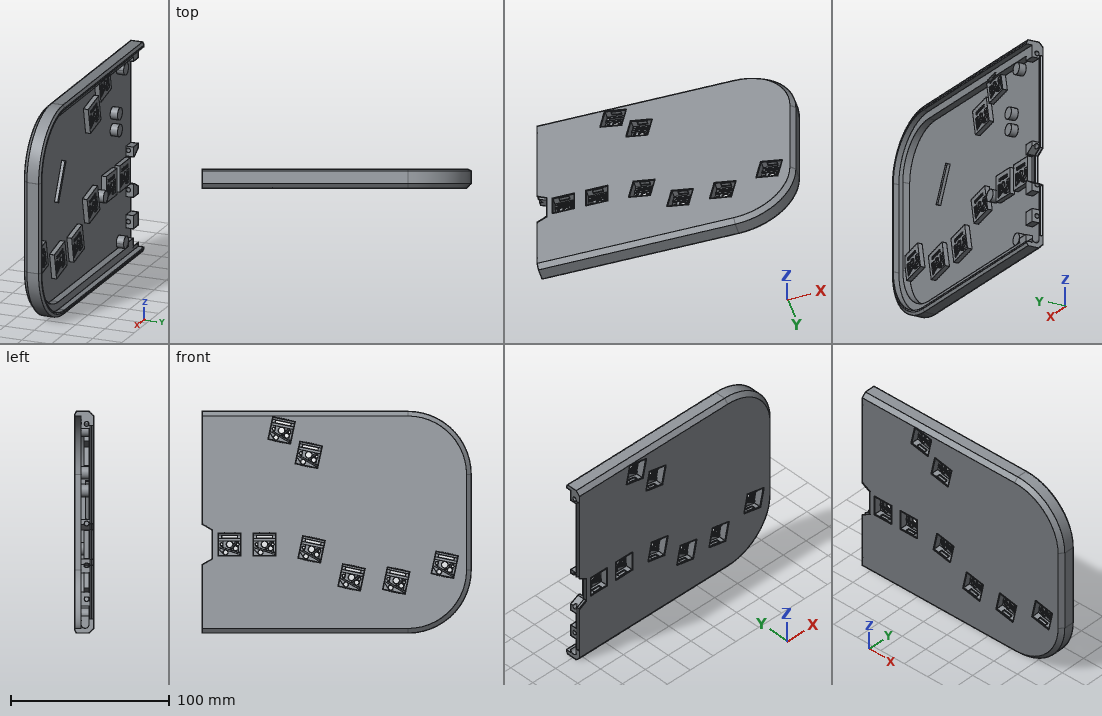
import cadquery as cq
import math


length = 169.75
height = 140.0
thickness = 12.0
corner_radius = 40.0
front_chamfer = 3.0
back_chamfer_side = 2.0
back_chamfer_depth = 1.0

plate_thickness = 3.0
cover_rim = 3.0
cover_depth = 4.0
cavity_wall = 8.0
cavity_back = thickness - cover_depth

notch_depth = 6.3
notch_center_z = 56.0
notch_mouth = 25.4
notch_floor = 18.2

groove_depth = 1.0
groove_bottom_z = 8.9
groove_top_z = height - groove_bottom_z

key_tilt = 12.0
keys = [
    (17.32, 56.04, 0.0),
    (39.36, 56.04, 0.0),
    (69.0, 52.9, key_tilt),
    (94.2, 35.2, key_tilt),
    (122.4, 33.2, key_tilt),
    (153.0, 43.2, key_tilt),
    (50.1, 127.9, key_tilt),
    (67.2, 112.5, key_tilt),
]
socket_size = 17.6
socket_back = 6.3
mouth_size = 14.6
mouth_depth = 0.6
well_size = 13.9
well_floor = 5.0
trace_depth = 0.9
trace_width = 0.9
traces = [
    ((-6.8, -1.6), (6.8, -6.0)),
    ((4.5, 1.9), (0.8, -2.9)),
]
left_strip = (-4.2, -1.6)
right_strip = (5.6, -4.9)
corner_cut = 4.0
clip_width = 6.5
clip_front = 1.2
clip_back = 3.8
clip_depth = 0.8
lamp_groove_z = 4.75
lamp_groove_width = 2.1
lamp_slot = (9.9, 1.7)
center_hole = 4.0
side_hole = 1.75
pin_hole = 3.0
pitch = 1.27
lower_floor_top = 2.1
lower_floor_depth = 0.4

boss_length = 8.0
boss_width = 8.8
pin_diameter = 3.0
pin_y = plate_thickness + pin_diameter / 2
lower_boss_z = 21.5
notch_boss_reach = 5.2
notch_boss_top = 15.8
notch_pin_offset = 13.2
top_pin_z = height - cavity_wall
end_pocket_top_z = 11.0
end_pocket_bottom_z = 3.1
top_boss_bottom_z = height - end_pocket_top_z

post_diameter = 8.0
corner_inset = cavity_wall + post_diameter / 2
corner_post_x = 2 * boss_length + post_diameter / 2
posts = [
    (corner_post_x, corner_inset),
    (corner_post_x, height - corner_inset),
    (30.0, 101.2),
    (30.0, 90.0),
    (53.0, 53.2),
]

rib_start = (112.0, 96.0)
rib_end = (124.0, 72.0)
rib_width = 2.0
rib_height = 2.2


def extrude_y(sketch, start, end):
    """Solid from a sketch on the XZ plane, between two Y values."""
    return sketch.extrude(start - end).translate((0, start, 0))


def xz():
    return cq.Workplane("XZ")


def box(x0, x1, y0, y1, z0, z1):
    return cq.Workplane("XY").box(x1 - x0, y1 - y0, z1 - z0, centered=False).translate((x0, y0, z0))


def rounded_panel(inset, y0, y1, left=0.0):
    """D-shaped slab, set in by `inset` from the outer walls and open at `left`."""
    right = length - inset
    radius = corner_radius - inset
    bend_x = length - corner_radius
    reach = radius * math.sqrt(0.5)
    sketch = (
        xz()
        .moveTo(left, inset)
        .lineTo(bend_x, inset)
        .threePointArc((bend_x + reach, corner_radius - reach), (right, corner_radius))
        .lineTo(right, height - corner_radius)
        .threePointArc((bend_x + reach, height - corner_radius + reach), (bend_x, height - inset))
        .lineTo(left, height - inset)
        .close()
    )
    return extrude_y(sketch, y0, y1)


def chamfered_body():
    """Outer body, bevelled along the outer walls but not along the joining edge."""
    spare = 10.0
    body = rounded_panel(0, 0, thickness, -spare)
    body = body.faces("<Y").chamfer(front_chamfer)
    back_edges = body.faces(">Y").edges().vals()
    body = body.newObject([body.val().chamfer(back_chamfer_depth, back_chamfer_side, back_edges)])
    return body.intersect(box(0, length, 0, thickness, 0, height))


def notch_points():
    """Corners (x, z) of the notch, from bottom to top."""
    half_mouth = notch_mouth / 2
    half_floor = notch_floor / 2
    return [
        (0, notch_center_z - half_mouth),
        (notch_depth, notch_center_z - half_floor),
        (notch_depth, notch_center_z + half_floor),
        (0, notch_center_z + half_mouth),
    ]


def edge_groove():
    """V groove swept along the joining edge and around the notch."""
    middle_y = plate_thickness / 2
    path = xz().polyline([(0, groove_bottom_z), *notch_points(), (0, groove_top_z)])
    profile = (
        cq.Workplane("XY")
        .workplane(offset=groove_bottom_z)
        .polyline(
            [
                (-groove_depth, middle_y - groove_depth),
                (0, middle_y - groove_depth),
                (groove_depth, middle_y),
                (0, middle_y + groove_depth),
                (-groove_depth, middle_y + groove_depth),
            ]
        )
        .close()
    )
    return profile.sweep(path, transition="right")


def joining_bosses():
    lower_mouth = notch_center_z - notch_mouth / 2
    half_floor = notch_floor / 2
    spans = [
        (lower_boss_z - boss_width / 2, lower_boss_z + boss_width / 2),
        (lower_mouth - notch_boss_reach, notch_center_z - half_floor),
        (notch_center_z + half_floor, notch_center_z + notch_boss_top),
        (top_boss_bottom_z, height - cavity_wall),
    ]
    bosses = cq.Workplane("XY")
    for bottom, top in spans:
        bosses = bosses.add(box(0, boss_length, plate_thickness, cavity_back, bottom, top))
    return bosses.combine()


def joining_pin_holes():
    centers = [
        (pin_y, lower_boss_z),
        (pin_y, notch_center_z - notch_pin_offset),
        (pin_y, notch_center_z + notch_pin_offset),
        (pin_y, top_pin_z),
    ]
    return cq.Workplane("YZ").pushPoints(centers).circle(pin_diameter / 2).extrude(boss_length)


def end_pocket():
    """Round-ended pocket in the lower end of the joining edge."""
    radius = (cavity_back - plate_thickness) / 2
    middle_y = plate_thickness + radius
    bend_z = end_pocket_bottom_z + radius
    return (
        cq.Workplane("YZ")
        .moveTo(plate_thickness, end_pocket_top_z)
        .lineTo(plate_thickness, bend_z)
        .threePointArc((middle_y, end_pocket_bottom_z), (cavity_back, bend_z))
        .lineTo(cavity_back, end_pocket_top_z)
        .close()
        .extrude(boss_length)
    )


def plate_bar(start, end, width, y0, y1):
    """Straight bar of the given width between two (x, z) points."""
    dx = end[0] - start[0]
    dz = end[1] - start[1]
    sketch = xz().rect(math.hypot(dx, dz), width)
    bar = extrude_y(sketch, y0, y1)
    bar = bar.rotate((0, 0, 0), (0, 1, 0), -math.degrees(math.atan2(dz, dx)))
    return bar.translate(((start[0] + end[0]) / 2, 0, (start[1] + end[1]) / 2))


def place(shape, key):
    x, z, angle = key
    return shape.rotate((0, 0, 0), (0, 1, 0), angle).translate((x, 0, z))


def socket_block():
    return extrude_y(xz().rect(socket_size, socket_size), plate_thickness, socket_back)


def socket_cutter():
    """Everything removed from one key socket, centred on the key."""
    half = well_size / 2
    lower_floor = well_floor + lower_floor_depth
    trace_back = well_floor + trace_depth
    lamp_bottom = lamp_groove_z - lamp_groove_width / 2
    cutter = extrude_y(xz().rect(mouth_size, mouth_size), 0, mouth_depth)
    cutter = cutter.union(extrude_y(xz().rect(well_size, well_size), 0, well_floor))
    cutter = cutter.union(
        box(-half, half, mouth_depth, lower_floor, lamp_bottom, lamp_bottom + lamp_groove_width)
    )
    cutter = cutter.union(extrude_y(xz().center(0, lamp_groove_z).rect(*lamp_slot), 0, cavity_back))
    cutter = cutter.union(box(-half, half, mouth_depth, lower_floor, -half, lower_floor_top))
    for start, end in traces:
        groove = plate_bar(start, end, trace_width, well_floor, trace_back)
        cutter = cutter.union(groove.intersect(box(-half, half, 0, socket_back, -half, half)))
    left_x, left_z = left_strip
    right_x, right_z = right_strip
    cutter = cutter.union(box(-half, left_x, mouth_depth, trace_back, left_z, lower_floor_top))
    cutter = cutter.union(box(right_x, half, mouth_depth, trace_back, right_z, lower_floor_top))
    corner = xz().polyline([(-half, -half), (corner_cut - half, -half), (-half, corner_cut - half)]).close()
    cutter = cutter.union(extrude_y(corner, mouth_depth, trace_back))
    clip_reach = half + clip_depth
    cutter = cutter.union(
        box(-clip_width / 2, clip_width / 2, clip_front, clip_back, -clip_reach, clip_reach)
    )
    holes = [
        (0, 0, center_hole),
        (-4 * pitch, 0, side_hole),
        (4 * pitch, 0, side_hole),
        (3 * pitch, -2 * pitch, pin_hole),
        (-2 * pitch, -4 * pitch, pin_hole),
    ]
    for x, z, diameter in holes:
        cutter = cutter.union(extrude_y(xz().center(x, z).circle(diameter / 2), 0, socket_back))
    return cutter


def tray():
    body = chamfered_body()
    body = body.cut(rounded_panel(cover_rim, cavity_back, thickness))
    return body.cut(rounded_panel(cavity_wall, plate_thickness, cavity_back))


def screw_posts():
    sketch = xz().pushPoints(posts).circle(post_diameter / 2)
    return extrude_y(sketch, plate_thickness, cavity_back)


def pocket_stop():
    """Block that closes the inner end of the end pocket."""
    return box(
        boss_length, 2 * boss_length, plate_thickness, cavity_back, cavity_wall, end_pocket_top_z
    )


def add_sockets(body):
    block = socket_block()
    cutter = socket_cutter()
    for key in keys:
        body = body.union(place(block, key))
    for key in keys:
        body = body.cut(place(cutter, key))
    return body


result = tray()
result = result.union(joining_bosses()).union(pocket_stop())
result = result.cut(joining_pin_holes()).cut(end_pocket())
result = result.union(screw_posts())
result = result.union(
    plate_bar(rib_start, rib_end, rib_width, plate_thickness, plate_thickness + rib_height)
)
result = result.cut(extrude_y(xz().polyline(notch_points()).close(), 0, thickness))
result = result.cut(edge_groove())
result = add_sockets(result)